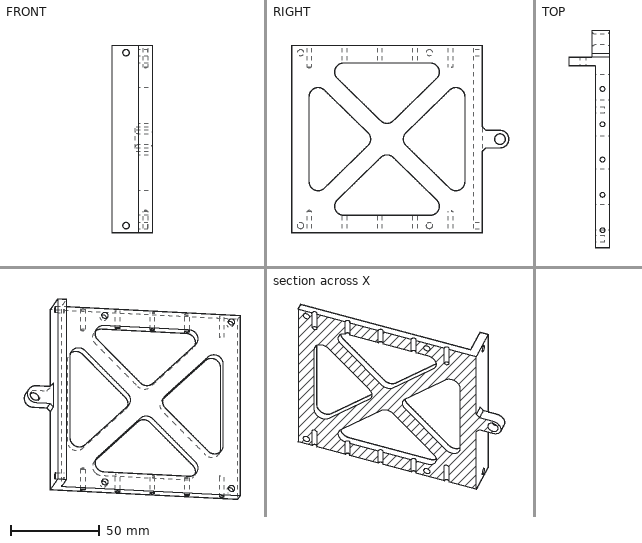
import cadquery as cq
import math

total_depth = 123.0
height = 106.0
flange_reach = 23.0

plate_thickness = 8.0
flange_thickness = 5.0

lug_thickness = 10.0
lug_radius = 5.0
lug_bore_radius = 3.0
lug_root_bevel = 2.0
lug_center_offset = 10.0

frame_width = 10.0
strut_width = 10.0
window_corner_radius = 5.0

edge_hole_diameter = 2.7
edge_hole_depth = 12.0
edge_hole_count = 5
edge_hole_span = 80.0
edge_hole_front_margin = 10.0
drill_tip_angle = 118.0
face_hole_diameter = 3.6
face_hole_depth = 5.0
face_hole_front_margin = 5.0
face_hole_back_margin = 30.0
flange_hole_diameter = 3.6
flange_hole_tip_margin = 8.0
hole_end_margin = 4.0

lug_center_y = total_depth - lug_radius
plate_depth = lug_center_y - lug_center_offset
plate_inner_x = flange_reach - plate_thickness
plate_mid_x = flange_reach - plate_thickness / 2
lug_inner_x = flange_reach - lug_thickness
edge_hole_pitch = edge_hole_span / (edge_hole_count - 1)
mid_y = plate_depth / 2
mid_z = height / 2
end_hole_levels = (hole_end_margin, height - hole_end_margin)


def make_angle_body():
    """Plate with the flange standing off its back end."""
    plate = cq.Workplane("XY").box(plate_thickness, plate_depth, height, centered=False)
    flange = cq.Workplane("XY").box(flange_reach, flange_thickness, height, centered=False)
    return plate.translate((plate_inner_x, 0, 0)).union(
        flange.translate((0, plate_depth - flange_thickness, 0))
    )


def make_lug():
    """Round-ended lug that widens in straight bevels where it meets the flange."""
    root_half_width = lug_radius + lug_root_bevel
    bevel_end_y = plate_depth + lug_root_bevel
    return (
        cq.Workplane("YZ", origin=(lug_inner_x, 0, mid_z))
        .moveTo(plate_depth, -root_half_width)
        .lineTo(bevel_end_y, -lug_radius)
        .lineTo(lug_center_y, -lug_radius)
        .threePointArc((total_depth, 0), (lug_center_y, lug_radius))
        .lineTo(bevel_end_y, lug_radius)
        .lineTo(plate_depth, root_half_width)
        .close()
        .extrude(lug_thickness)
    )


def make_lug_bore():
    """Bore whose two mouths are rounded out to the rim of the lug."""
    mouth = lug_radius - lug_bore_radius
    arc_inset = mouth * (1 - math.sqrt(0.5))
    arc_mid_radius = lug_bore_radius + arc_inset
    return (
        cq.Workplane("XY", origin=(lug_inner_x, lug_center_y, mid_z))
        .moveTo(0, 0)
        .lineTo(0, lug_radius)
        .threePointArc((arc_inset, arc_mid_radius), (mouth, lug_bore_radius))
        .lineTo(lug_thickness - mouth, lug_bore_radius)
        .threePointArc((lug_thickness - arc_inset, arc_mid_radius), (lug_thickness, lug_radius))
        .lineTo(lug_thickness, 0)
        .close()
        .revolve(360, (0, 0, 0), (1, 0, 0))
    )


def make_windows():
    """Four rounded triangles left between the frame and the diagonal struts."""
    half_y = mid_y - frame_width
    half_z = mid_z - frame_width
    diagonal = math.hypot(half_y, half_z)
    apex_y = strut_width / 2 * diagonal / half_z
    apex_z = strut_width / 2 * diagonal / half_y
    side_half = half_z - apex_z
    end_half = half_y - apex_y
    windows = cq.Workplane("YZ")
    for sign in (1, -1):
        side = [(sign * apex_y, 0), (sign * half_y, side_half), (sign * half_y, -side_half)]
        end = [(0, sign * apex_z), (end_half, sign * half_z), (-end_half, sign * half_z)]
        for corners in (side, end):
            window = (
                cq.Workplane("YZ", origin=(plate_inner_x, mid_y, mid_z))
                .polyline(corners)
                .close()
                .extrude(plate_thickness)
                .edges("|X")
                .fillet(window_corner_radius)
            )
            windows = windows.add(window)
    return windows.combine()


def make_edge_holes():
    """Drilled holes with conical tips, in the top and bottom edges of the plate."""
    radius = edge_hole_diameter / 2
    tip_depth = edge_hole_depth + radius / math.tan(math.radians(drill_tip_angle / 2))
    drill = (
        cq.Workplane("XZ")
        .polyline([(0, 0), (radius, 0), (radius, edge_hole_depth), (0, tip_depth)])
        .close()
        .revolve(360, (0, 0, 0), (0, 1, 0))
    )
    top_drill = drill.mirror("XY").translate((0, 0, height))
    holes = cq.Workplane("XY")
    for index in range(edge_hole_count):
        y = edge_hole_front_margin + index * edge_hole_pitch
        for tool in (drill, top_drill):
            holes = holes.add(tool.translate((plate_mid_x, y, 0)))
    return holes.combine()


def make_face_holes():
    """Blind holes in the inner face of the plate."""
    columns = (face_hole_front_margin, plate_depth - face_hole_back_margin)
    return (
        cq.Workplane("YZ", origin=(plate_inner_x, 0, 0))
        .pushPoints([(y, z) for y in columns for z in end_hole_levels])
        .circle(face_hole_diameter / 2)
        .extrude(face_hole_depth)
    )


def make_flange_holes():
    """Through holes near the top and bottom of the flange."""
    return (
        cq.Workplane("XZ", origin=(0, plate_depth, 0))
        .pushPoints([(flange_hole_tip_margin, z) for z in end_hole_levels])
        .circle(flange_hole_diameter / 2)
        .extrude(flange_thickness)
    )


result = (
    make_angle_body()
    .union(make_lug())
    .cut(make_lug_bore())
    .cut(make_windows())
    .cut(make_edge_holes())
    .cut(make_face_holes())
    .cut(make_flange_holes())
)